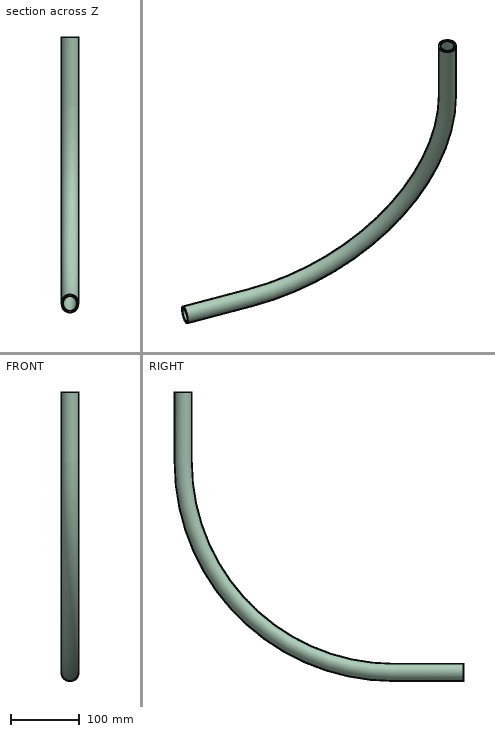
import cadquery as cq

outer_diameter = 25.4
inner_diameter = 19.3
bend_radius = 304.8
leg_length = 101.6


def tube_section(workplane):
    """Ring-shaped cross-section of the tube, centred on the workplane origin."""
    return workplane.circle(outer_diameter / 2).circle(inner_diameter / 2)


upright_leg = tube_section(
    cq.Workplane("XY", origin=(0, 0, bend_radius))
).extrude(leg_length)

level_leg = tube_section(
    cq.Workplane("XZ", origin=(0, bend_radius, 0))
).extrude(-leg_length)

bend = tube_section(
    cq.Workplane("XY", origin=(0, 0, bend_radius))
).revolve(90, (0, bend_radius, 0), (1, bend_radius, 0))

result = upright_leg.union(bend).union(level_leg)